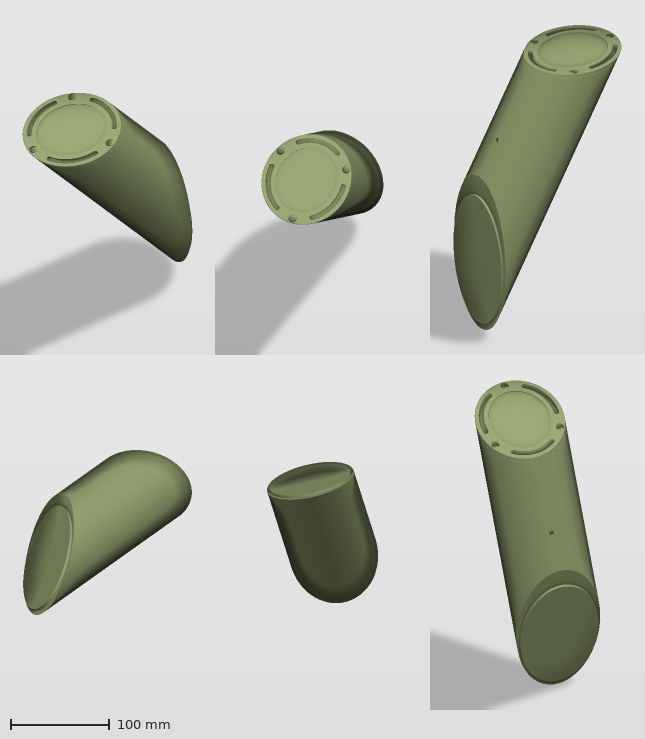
import cadquery as cq
import math

tube_diameter = 90.0
tilt = 30.0
overall_height = 290.42

bezel_height = 4.2
bezel_edge_radius = 0.7
seam_edge_radius = 0.5

lens_inset = 12.0
opening_inset = 14.2
lens_recess = 1.0
lens_thickness = 2.0

slot_inset = 6.8
slot_width = 5.3
slot_angles = (90.0, 208.0, 332.0)
slot_span = 66.0

screw_circle_radius = 40.3
screw_angles = (30.0, 150.0, 270.0)
counterbore_diameter = 8.2
counterbore_depth = 3.4
head_diameter = 7.0
head_height = 2.0
head_chamfer = 1.2
socket_width = 3.5
socket_depth = 1.2
shank_diameter = 4.0
shank_length = 10.0

plate_width = 84.0
plate_height = 148.5
plate_center_height = 82.75
plate_thickness = 2.82

drain_diameter = 5.0
drain_depth = 4.0
drain_distance = 21.0

lean = math.radians(tilt)
tube_radius = tube_diameter / 2
half_length = tube_radius / math.cos(lean)
back_center_height = tube_radius / math.sin(lean)
back_top_height = 2 * back_center_height
axis = cq.Vector(0, -math.sin(lean), math.cos(lean))
upper_normal = cq.Vector(0, math.cos(lean), math.sin(lean))
along_y = cq.Vector(0, 1, 0)

seam_height = overall_height - bezel_height
lens_top = overall_height - lens_recess
lens_bottom = lens_top - lens_thickness
cutter_margin = 2 * tube_diameter


def axis_point(height):
    """Point of the tube axis at a height."""
    return cq.Vector(0, (back_center_height - height) * math.tan(lean), height)


def tube_between(low, high):
    """Length of solid tube with a horizontal face at each height."""
    base = axis_point(low) - axis * cutter_margin
    length = (high - low) / math.cos(lean) + 2 * cutter_margin
    tube = cq.Workplane(cq.Plane(base, (1, 0, 0), axis)).circle(tube_radius).extrude(length)
    slab_side = 2 * (overall_height + cutter_margin)
    slab = cq.Workplane(origin=(0, 0, low)).rect(slab_side, slab_side).extrude(high - low)
    return tube.intersect(slab)


def slanted_prism(outline, low, high):
    """Horizontal outline centred on the tube axis, swept along that axis between two heights."""
    start = axis_point(low)
    placed = outline.moved(cq.Location(start))
    return cq.Workplane(cq.Solid.extrudeLinear(placed, [], axis_point(high) - start))


def inset_ellipse(inset, start=90, end=450):
    """Edge of the face ellipse moved inwards, between two angles measured from +X."""
    return cq.Edge.makeEllipse(
        half_length - inset,
        tube_radius - inset,
        xdir=along_y,
        angle1=start - 90,
        angle2=end - 90,
    )


def slot_outline(angle):
    """Slot following the face ellipse, with rounded ends."""
    start = angle - slot_span / 2
    end = angle + slot_span / 2
    outer = inset_ellipse(slot_inset - slot_width / 2, start, end)
    middle = inset_ellipse(slot_inset, start, end)
    inner = inset_ellipse(slot_inset + slot_width / 2, start, end)
    start_tip = middle.startPoint() - middle.tangentAt(0) * (slot_width / 2)
    end_tip = middle.endPoint() + middle.tangentAt(1) * (slot_width / 2)
    start_cap = cq.Edge.makeThreePointArc(inner.startPoint(), start_tip, outer.startPoint())
    end_cap = cq.Edge.makeThreePointArc(outer.endPoint(), end_tip, inner.endPoint())
    return cq.Wire.assembleEdges([outer, end_cap, inner, start_cap])


def screw_seat(angle):
    """Workplane on the counterbore floor, square to the tube axis."""
    turn = math.radians(angle)
    across = screw_circle_radius * math.cos(turn)
    along = screw_circle_radius * math.sin(turn) / math.cos(lean)
    on_face = axis_point(overall_height) + cq.Vector(across, along, 0)
    return cq.Workplane(cq.Plane(on_face - axis * counterbore_depth, (1, 0, 0), axis))


def screw_shank(angle):
    return screw_seat(angle).circle(shank_diameter / 2).extrude(-shank_length)


def cut_screw_holes(body):
    for angle in screw_angles:
        counterbore = screw_seat(angle).circle(counterbore_diameter / 2).extrude(cutter_margin)
        body = body.cut(counterbore).cut(screw_shank(angle))
    return body


def make_housing():
    body = tube_between(0, seam_height)
    body = body.faces(">Z").edges().fillet(seam_edge_radius)
    cutter_size = 4 * overall_height
    behind_wall = cq.Workplane("XZ").rect(cutter_size, cutter_size).extrude(-cutter_size)
    body = cut_screw_holes(body.cut(behind_wall))
    drain_mouth = cq.Vector(0, -drain_distance, back_top_height + drain_distance / math.tan(lean))
    drain_floor = cq.Plane(drain_mouth - upper_normal * drain_depth, (1, 0, 0), upper_normal)
    drain = cq.Workplane(drain_floor).circle(drain_diameter / 2).extrude(2 * drain_depth)
    return body.cut(drain)


def make_lens():
    outline = cq.Wire.assembleEdges([inset_ellipse(lens_inset)])
    return slanted_prism(outline, lens_bottom, lens_top)


def make_bezel():
    body = tube_between(seam_height, overall_height)
    body = body.faces(">Z").edges().fillet(bezel_edge_radius)
    opening = cq.Wire.assembleEdges([inset_ellipse(opening_inset)])
    body = body.cut(slanted_prism(opening, lens_top, overall_height))
    body = body.cut(make_lens())
    for angle in slot_angles:
        body = body.cut(slanted_prism(slot_outline(angle), seam_height, overall_height))
    return cut_screw_holes(body)


def make_screw(angle):
    head = screw_seat(angle).circle(head_diameter / 2).extrude(head_height)
    top_face = cq.selectors.DirectionMinMaxSelector(axis)
    head = head.faces(top_face).chamfer(head_chamfer)
    socket_floor = screw_seat(angle).workplane(offset=head_height - socket_depth)
    socket = socket_floor.polygon(6, socket_width, circumscribed=True).extrude(socket_depth)
    return head.cut(socket).union(screw_shank(angle))


def make_plate():
    center = (0, plate_thickness, plate_center_height)
    face = cq.Workplane("XZ", origin=center).ellipse(plate_width / 2, plate_height / 2)
    return face.extrude(plate_thickness)


housing = make_housing()
bezel = make_bezel()
lens = make_lens()
plate = make_plate()
screws = [make_screw(angle).val() for angle in screw_angles]

result = cq.Compound.makeCompound([housing.val(), bezel.val(), lens.val(), plate.val(), *screws])